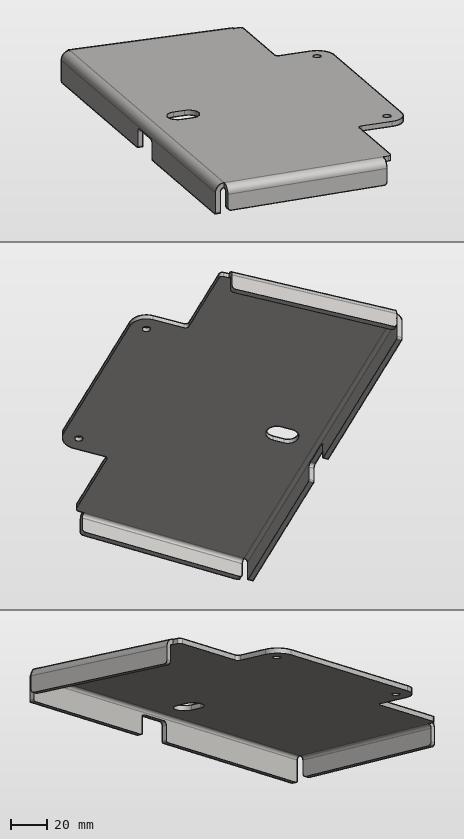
import cadquery as cq
import math

thickness = 3.0
bend_radius = 5.0
inner_bend_radius = bend_radius - thickness

overall_width = 231.0
overall_depth = 136.5
plate_back = 106.3
front_half_width = overall_width / 2 - bend_radius
front_bend_y = bend_radius
back_half_width = 107.0
corner_radius = 2.0

tab_half_width = 58.7
tab_corner_radius = 10.0
tab_hole_diameter = 4.5
tab_hole_x = 50.0
tab_hole_y = 127.0

slot_x = 5.3
slot_y = 24.5
slot_width = 12.0
slot_length = 18.5

front_height = 18.0
front_corner_radius = 1.2
side_height = 14.8
side_corner_radius = 2.0
side_length = 96.0

notch_x = 9.5
notch_width = 20.0
notch_top = -6.2
notch_inner_radius = 2.0
notch_mouth_radius = 1.0


def make_plate():
    """Flat plate with its tab, from the front bend line to the rear edge."""
    right_half = [
        (front_half_width, front_bend_y),
        (back_half_width, plate_back),
        (tab_half_width, plate_back),
        (tab_half_width, overall_depth),
    ]
    left_half = [(-x, y) for x, y in reversed(right_half)]
    plate = cq.Workplane("XY").polyline(right_half + left_half).close().extrude(-thickness)
    for side in (-1, 1):
        for x, y, radius in (
            (back_half_width, plate_back, corner_radius),
            (tab_half_width, plate_back, corner_radius),
            (tab_half_width, overall_depth, tab_corner_radius),
        ):
            corner = cq.selectors.NearestToPointSelector((side * x, y, -thickness / 2))
            plate = plate.edges("|Z").edges(corner).fillet(radius)
    return plate


def make_flange(start, outward, along, length, height, end_radius):
    """Bent flange: start is on the bend line, outward points away from the plate."""
    plane = cq.Plane(origin=start, xDir=outward, normal=along)
    down = -1 if plane.yDir.z > 0 else 1
    diagonal = math.sqrt(0.5)
    bend_center_y = down * bend_radius

    def arc_middle(radius):
        return (radius * diagonal, bend_center_y - down * radius * diagonal)

    flange = (
        cq.Workplane(plane)
        .threePointArc(arc_middle(bend_radius), (bend_radius, bend_center_y))
        .lineTo(bend_radius, down * height)
        .lineTo(inner_bend_radius, down * height)
        .lineTo(inner_bend_radius, bend_center_y)
        .threePointArc(arc_middle(inner_bend_radius), (0, down * thickness))
        .close()
        .extrude(length)
    )
    bottom_corners = cq.selectors.ParallelDirSelector(cq.Vector(*outward))
    return flange.faces("<Z").edges(bottom_corners).fillet(end_radius)


def make_front_flange():
    return make_flange(
        (-front_half_width, front_bend_y, 0), (0, -1, 0), (1, 0, 0),
        2 * front_half_width, front_height, front_corner_radius,
    )


def make_side_flange(side):
    """Flange following the tapered edge; side is -1 for left and 1 for right."""
    taper = math.atan2(front_half_width - back_half_width, plate_back - front_bend_y)
    outward = (side * math.cos(taper), math.sin(taper), 0)
    along = (-side * math.sin(taper), math.cos(taper), 0)
    start = (side * front_half_width, front_bend_y, 0)
    return make_flange(start, outward, along, side_length, side_height, side_corner_radius)


def make_notch():
    """Cutter for the front notch, with rounded top corners and a flared mouth."""
    half = notch_width / 2
    mouth = half + notch_mouth_radius
    bottom = -front_height
    return (
        cq.Workplane("XZ")
        .center(notch_x, 0)
        .moveTo(-mouth, bottom)
        .radiusArc((-half, bottom + notch_mouth_radius), -notch_mouth_radius)
        .lineTo(-half, notch_top - notch_inner_radius)
        .radiusArc((-half + notch_inner_radius, notch_top), notch_inner_radius)
        .lineTo(half - notch_inner_radius, notch_top)
        .radiusArc((half, notch_top - notch_inner_radius), notch_inner_radius)
        .lineTo(half, bottom + notch_mouth_radius)
        .radiusArc((mouth, bottom), -notch_mouth_radius)
        .close()
        .extrude(-bend_radius)
    )


def make_holes():
    """Cutters for the two tab holes and the slot."""
    tab_holes = (
        cq.Workplane("XY")
        .pushPoints([(-tab_hole_x, tab_hole_y), (tab_hole_x, tab_hole_y)])
        .circle(tab_hole_diameter / 2)
        .extrude(-thickness)
    )
    slot = (
        cq.Workplane("XY")
        .center(slot_x, slot_y)
        .slot2D(slot_length, slot_width, 90)
        .extrude(-thickness)
    )
    return tab_holes.union(slot)


result = make_plate().union(make_front_flange())
for side in (-1, 1):
    result = result.union(make_side_flange(side))
result = result.cut(make_notch()).cut(make_holes())